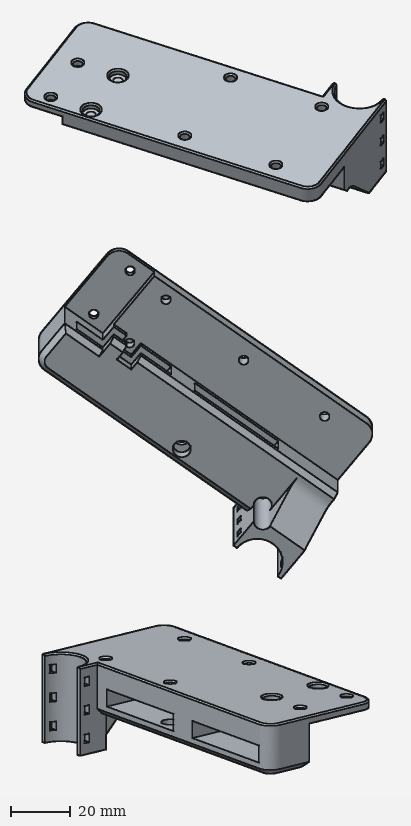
import cadquery as cq

LENGTH = 110.0
PLATE_WIDTH = 46.0
FULL_WIDTH = 53.5
CORNER_RADIUS = 5.0
TOP_CHAMFER = 0.6

STEP_DEPTH = 2.7
PLATE_DEPTH = 6.0
BODY_DEPTH = 18.0
CLAMP_DEPTH = 31.0

BODY_FRONT = 22.3
END_SETBACK = 6.0
END_FRONT = BODY_FRONT + END_SETBACK
END_LENGTH = 16.0
BOTTOM_CHAMFER = 2.0

CLAMP_LENGTH = 20.0
CLAMP_LEFT = LENGTH - CLAMP_LENGTH
SEAT_RADIUS = 8.5
SEAT_X = LENGTH - CLAMP_LENGTH / 2
RAMP_TOP_Y = 27.8
RAMP_WALL_Y = 41.0
RAMP_FILLET = 5.0

TIE_SLOT_FRONT = 49.5
TIE_SLOT_WIDTH = 2.0
TIE_SLOT_HEIGHT = 3.0
TIE_SLOT_DEPTHS = [4.0, 14.0, 24.0]

WINDOW_LENGTH = 35.0
WINDOW_LEFTS = [5.0, 50.0]
WINDOW_DEPTH = 8.0
WINDOW_HEIGHT = 6.0

SCREW_DIAMETER = 3.2
SCREW_HEAD_DIAMETER = 6.0
HOLE_CHAMFER = 0.6
LEFT_SCREW_X = 9.35
PAIR_FRONT_Y = 4.6
PAIR_SPACING = 20.0
SQUARE_LEFT_X = 58.4
SQUARE_FRONT_Y = 6.5
SQUARE_SPACING = 34.0

RECESS_OFFSET = 15.0
RECESS_X = LEFT_SCREW_X + RECESS_OFFSET
RECESS_DIAMETER = 6.0
RECESS_DEPTH = 2.0
MEMBRANE = 0.2
NOTCH_SIDE = 6.0


def box(x0, x1, y0, y1, depth0, depth1):
    """A box between two X values, two Y values and two depths."""
    size = (x1 - x0, y1 - y0, depth1 - depth0)
    return cq.Workplane("XY").box(*size, centered=False).translate((x0, y0, -depth1))


def hole(x, y, diameter, depth0, depth1):
    """A vertical cylinder between two depths."""
    return cq.Workplane("XY", origin=(x, y, -depth1)).circle(diameter / 2).extrude(depth1 - depth0)


def chamfered_hole(x, y, diameter, depth):
    """A hole from the top face with a 45 degree chamfer at its mouth."""
    radius = diameter / 2
    mouth = cq.Solid.makeCone(radius, radius + HOLE_CHAMFER, HOLE_CHAMFER, cq.Vector(x, y, -HOLE_CHAMFER))
    return hole(x, y, diameter, 0, depth).union(cq.Workplane(mouth))


def make_plate():
    """The plate and the top of the clamp arms, chamfered round the top and thinner at the front left."""
    plate = box(0, LENGTH, 0, PLATE_WIDTH, 0, PLATE_DEPTH)
    plate = plate.edges("|Z").edges("<Y or <X").fillet(CORNER_RADIUS)
    plate = plate.union(box(CLAMP_LEFT, LENGTH, PLATE_WIDTH / 2, FULL_WIDTH, 0, PLATE_DEPTH)).clean()
    plate = plate.cut(hole(SEAT_X, FULL_WIDTH, 2 * SEAT_RADIUS, 0, PLATE_DEPTH))
    plate = plate.faces(">Z").edges("not >Y").chamfer(TOP_CHAMFER)
    return plate.cut(box(0, END_LENGTH, 0, END_FRONT, STEP_DEPTH, PLATE_DEPTH))


def make_body():
    """The deep body under the rear of the plate, chamfered along the bottom except at the right."""
    end = box(0, LENGTH, END_FRONT, PLATE_WIDTH, STEP_DEPTH, BODY_DEPTH)
    end = end.edges("|Z and <X and >Y").fillet(CORNER_RADIUS)
    end = end.faces("<Z").edges("not >X").chamfer(BOTTOM_CHAMFER)
    main_rear = PLATE_WIDTH - CORNER_RADIUS
    main = box(END_LENGTH, LENGTH, BODY_FRONT, main_rear, PLATE_DEPTH, BODY_DEPTH)
    main = main.edges("<Y and <Z").chamfer(BOTTOM_CHAMFER)
    return end.union(main)


def make_clamp():
    """The clamp block, with a 45 degree ramp that blends into the underside of the body."""
    inside_depth = BODY_DEPTH - BOTTOM_CHAMFER
    ramp_end_depth = BODY_DEPTH + RAMP_WALL_Y - RAMP_TOP_Y
    below_depth = CLAMP_DEPTH + RAMP_FILLET
    flat_start_y = BODY_FRONT + BOTTOM_CHAMFER
    profile = [
        (flat_start_y, -inside_depth),
        (flat_start_y, -BODY_DEPTH),
        (RAMP_TOP_Y, -BODY_DEPTH),
        (RAMP_WALL_Y, -ramp_end_depth),
        (RAMP_WALL_Y, -below_depth),
        (FULL_WIDTH, -below_depth),
        (FULL_WIDTH, -inside_depth),
    ]
    block = cq.Workplane("YZ", origin=(CLAMP_LEFT, 0, 0)).polyline(profile).close().extrude(CLAMP_LENGTH)
    for y, depth in [(RAMP_TOP_Y, BODY_DEPTH), (RAMP_WALL_Y, ramp_end_depth)]:
        corner = cq.selectors.NearestToPointSelector((SEAT_X, y, -depth))
        block = block.edges(corner).fillet(RAMP_FILLET)
    arms_front = PLATE_WIDTH - CORNER_RADIUS
    block = block.union(box(CLAMP_LEFT, LENGTH, arms_front, FULL_WIDTH, PLATE_DEPTH, BODY_DEPTH))
    block = block.cut(box(CLAMP_LEFT, LENGTH, 0, FULL_WIDTH, CLAMP_DEPTH, below_depth))
    return block


def cut_clamp(part):
    """Cut the half-round seat and the cable tie slots."""
    part = part.cut(hole(SEAT_X, FULL_WIDTH, 2 * SEAT_RADIUS, 0, CLAMP_DEPTH))
    slot_rear = TIE_SLOT_FRONT + TIE_SLOT_WIDTH
    for depth in TIE_SLOT_DEPTHS:
        part = part.cut(box(CLAMP_LEFT, LENGTH, TIE_SLOT_FRONT, slot_rear, depth, depth + TIE_SLOT_HEIGHT))
    return part


def cut_windows(part):
    """Cut the two windows through the body from front to rear."""
    floor_depth = WINDOW_DEPTH + WINDOW_HEIGHT
    for left in WINDOW_LEFTS:
        part = part.cut(box(left, left + WINDOW_LENGTH, 0, PLATE_WIDTH, WINDOW_DEPTH, floor_depth))
    return part


def cut_screw_holes(part):
    """Cut the screw holes, each with room for the screw head below the plate."""
    pair = [(LEFT_SCREW_X, PAIR_FRONT_Y + i * PAIR_SPACING) for i in range(2)]
    square = [
        (SQUARE_LEFT_X + i * SQUARE_SPACING, SQUARE_FRONT_Y + j * SQUARE_SPACING)
        for i in range(2)
        for j in range(2)
    ]
    for x, y in pair + square:
        part = part.cut(chamfered_hole(x, y, SCREW_DIAMETER, PLATE_DEPTH))
        part = part.cut(hole(x, y, SCREW_HEAD_DIAMETER, PLATE_DEPTH, CLAMP_DEPTH))

    head_radius = SCREW_HEAD_DIAMETER / 2
    corner_x = SQUARE_LEFT_X + SQUARE_SPACING
    corner_y = SQUARE_FRONT_Y + SQUARE_SPACING
    corner_relief = box(CLAMP_LEFT, corner_x + head_radius, 0, corner_y, BODY_DEPTH, CLAMP_DEPTH)
    return part.cut(corner_relief)


def cut_recesses(part):
    """Cut the two round recesses and the square notch below the rear one."""
    for y in (PAIR_FRONT_Y, PAIR_FRONT_Y + PAIR_SPACING):
        part = part.cut(chamfered_hole(RECESS_X, y, RECESS_DIAMETER, RECESS_DEPTH))
        part = part.cut(hole(RECESS_X, y, SCREW_DIAMETER, RECESS_DEPTH + MEMBRANE, BODY_DEPTH))
    notch_left = RECESS_X - NOTCH_SIDE / 2
    notch_rear = PAIR_FRONT_Y + PAIR_SPACING + NOTCH_SIDE / 2
    return part.cut(box(notch_left, notch_left + NOTCH_SIDE, 0, notch_rear, PLATE_DEPTH, BODY_DEPTH))


result = make_plate().union(make_body()).union(make_clamp())
result = cut_clamp(result)
result = cut_windows(result)
result = cut_screw_holes(result)
result = cut_recesses(result)